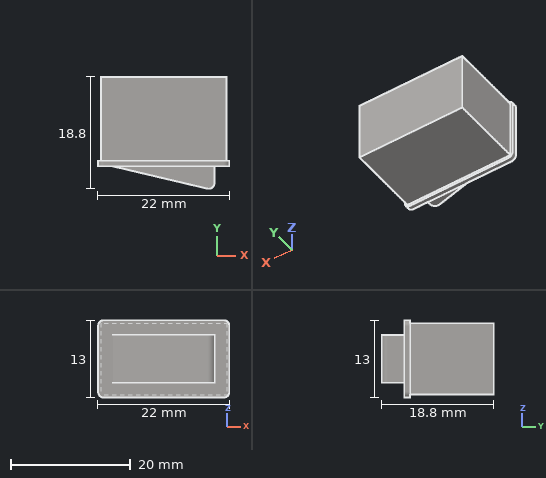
import cadquery as cq
import math

flange_width = 22.0
flange_height = 13.0
flange_thickness = 1.0
flange_corner_radius = 1.0

body_width = 21.0
body_height = 12.0
body_depth = 14.0

total_depth = 18.75
rocker_width = 17.0
rocker_height = 8.0
rocker_tip_radius = 1.0
rocker_projection = total_depth - body_depth - flange_thickness


def make_body():
    return cq.Workplane("XY").box(
        body_width, body_depth, body_height, centered=(True, False, True)
    )


def make_flange():
    plate = cq.Workplane("XY").box(
        flange_width, flange_thickness, flange_height, centered=(True, False, True)
    )
    plate = plate.edges("|Y").fillet(flange_corner_radius)
    return plate.translate((0, -flange_thickness, 0))


def make_rocker():
    """Wedge whose sloping face runs tangent into a rounded tip at +X."""
    face_y = -flange_thickness
    left_x = -rocker_width / 2
    right_x = rocker_width / 2
    tip_x = right_x - rocker_tip_radius
    tip_y = face_y - rocker_projection + rocker_tip_radius

    run = tip_x - left_x
    drop = face_y - tip_y
    slope = math.atan2(drop, run) + math.asin(rocker_tip_radius / math.hypot(run, drop))

    def tip_point(angle):
        return (
            tip_x + rocker_tip_radius * math.cos(angle),
            tip_y + rocker_tip_radius * math.sin(angle),
        )

    tangent_angle = -math.pi / 2 - slope
    profile = (
        cq.Workplane("XY")
        .moveTo(left_x, face_y)
        .lineTo(*tip_point(tangent_angle))
        .threePointArc(tip_point(tangent_angle / 2), tip_point(0))
        .lineTo(right_x, face_y)
        .close()
    )
    return profile.extrude(rocker_height / 2, both=True)


result = make_body().union(make_flange()).union(make_rocker())